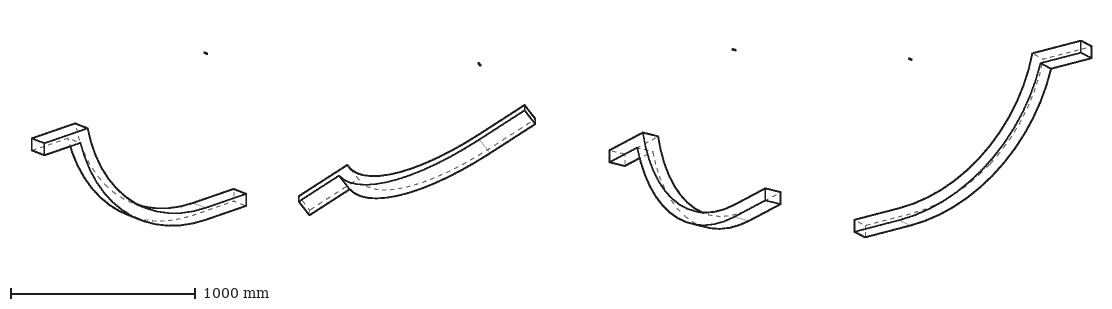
import cadquery as cq
import math

strap_width = 100.0
thickness = 70.0
inner_radius = 900.0
outer_radius = inner_radius + thickness
foot_length = 300.0
overall_length = 1500.0
flange_rise = 700.0

foot_top = -inner_radius
foot_bottom = -outer_radius
flange_top = foot_top + flange_rise
flange_bottom = flange_top - thickness
flange_end = foot_length - overall_length

pin_diameter = 5.0
pin_start = 90.0
pin_length = 20.0


def arc_y(radius, z):
    """Y on the -Y side of an arc about the X axis, at height z."""
    return -math.sqrt(radius**2 - z**2)


def arc_middle(radius, z_end):
    """Point halfway along the arc from its lowest point to height z_end."""
    half_angle = math.acos(-z_end / radius) / 2
    return (-radius * math.sin(half_angle), -radius * math.cos(half_angle))


def make_strap():
    return (
        cq.Workplane("YZ")
        .moveTo(foot_length, foot_bottom)
        .lineTo(0, foot_bottom)
        .threePointArc(
            arc_middle(outer_radius, flange_bottom),
            (arc_y(outer_radius, flange_bottom), flange_bottom),
        )
        .lineTo(flange_end, flange_bottom)
        .lineTo(flange_end, flange_top)
        .lineTo(arc_y(inner_radius, flange_top), flange_top)
        .threePointArc(arc_middle(inner_radius, flange_top), (0, foot_top))
        .lineTo(foot_length, foot_top)
        .close()
        .extrude(strap_width)
    )


def make_pin():
    return (
        cq.Workplane("YZ", origin=(pin_start, 0, 0))
        .circle(pin_diameter / 2)
        .extrude(pin_length)
    )


strap = make_strap()
pin = make_pin()
result = cq.Compound.makeCompound([strap.val(), pin.val()])